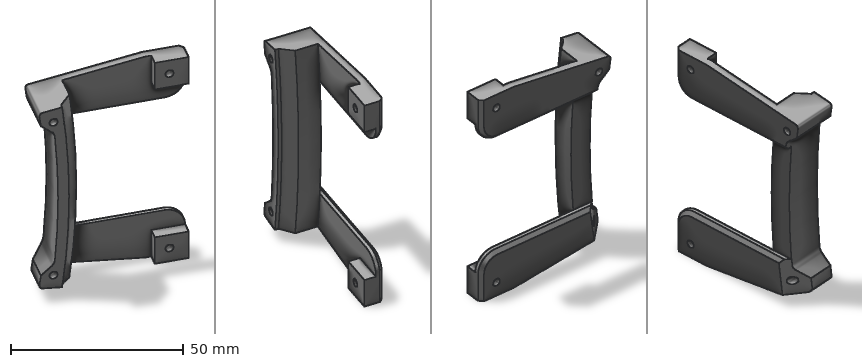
import cadquery as cq
import math

width = 14.7
depth = 47.7
half_height = 36.2

arm_thickness = 2.5
arm_inner_z = 20.3
arm_chamfer = 1.2
arm_corner_radius = 6.4
taper_start_y = 35.5
taper_angle = 7.5

pad_x = 6.3
pad_front_y = 37.4
pad_inner_z = arm_inner_z + arm_corner_radius
hole_diameter = 2.45
hole_centers = [(41.85, 31.4), (4.3, 27.5)]

bridge_radius = 256.25
bridge_front_y = 5.65
bridge_rear_y = 12.6
bridge_bevel_x = 9.9
bridge_bevel = 3.6

tip_face_length = 4.6
tip_slope_angle = 41.0
tip_radius = 1.15
tip_inner_radius = 2.9
corner_cut = 6.2

taper_sin = math.sin(math.radians(taper_angle))
taper_cos = math.cos(math.radians(taper_angle))
tip_y = tip_radius * (1 - taper_cos - taper_sin)
tip_z = half_height - (taper_start_y - tip_y) * taper_sin / taper_cos


def bridge_face_y(mid_y, z):
    """Y of a bridge face bowed toward the rear, at height z."""
    return mid_y - bridge_radius + math.sqrt(bridge_radius**2 - z**2)


def box(x_range, y_range, z_range):
    sizes = [high - low for low, high in (x_range, y_range, z_range)]
    corner = (x_range[0], y_range[0], z_range[0])
    return cq.Workplane("XY").box(*sizes, centered=False).translate(corner)


def make_envelope():
    """Full-width side outline: tapered outer edges, front tips and bowed front."""
    tip_low = (tip_y + tip_face_length * taper_sin, tip_z - tip_face_length * taper_cos)
    slope = math.tan(math.radians(tip_slope_angle))
    root_z = arm_inner_z
    iterations = 10
    for _ in range(iterations):
        root_y = bridge_face_y(bridge_front_y, root_z)
        root_z = tip_low[1] - (root_y - tip_low[0]) * slope
    envelope = (
        cq.Workplane("YZ")
        .moveTo(depth, -half_height)
        .lineTo(depth, half_height)
        .lineTo(taper_start_y, half_height)
        .lineTo(tip_y, tip_z)
        .lineTo(*tip_low)
        .lineTo(root_y, root_z)
        .threePointArc((bridge_front_y, 0), (root_y, -root_z))
        .lineTo(tip_low[0], -tip_low[1])
        .lineTo(tip_y, -tip_z)
        .lineTo(taper_start_y, -half_height)
        .close()
        .extrude(width)
    )

    def edges_near(y, z):
        """Select the full-width edges at the mirrored pair of points."""
        reach = 0.1
        upper, lower = [
            cq.selectors.BoxSelector(
                (0, y - reach, mirrored_z - reach), (width, y + reach, mirrored_z + reach)
            )
            for mirrored_z in (z, -z)
        ]
        return envelope.edges("|X").edges(upper + lower)

    envelope = edges_near(tip_y, tip_z).fillet(tip_radius)
    return edges_near(root_y, root_z).fillet(tip_inner_radius)


def make_bridge():
    """Bridge plan section swept around a distant axis parallel to X."""
    bevel_end = (bridge_bevel_x + bridge_bevel, bridge_rear_y - bridge_bevel)
    front_y = -tip_face_length
    axis_y = bridge_rear_y - bridge_radius
    sweep_angle = 20
    section = (
        cq.Workplane("XY")
        .moveTo(0, front_y)
        .lineTo(0, bridge_rear_y)
        .lineTo(bridge_bevel_x, bridge_rear_y)
        .lineTo(*bevel_end)
        .lineTo(width, bevel_end[1])
        .lineTo(width, front_y)
        .close()
    )
    swept = section.revolve(sweep_angle, (0, axis_y, 0), (1, axis_y, 0))
    swept = swept.rotate((0, axis_y, 0), (1, axis_y, 0), -sweep_angle / 2)
    return swept.intersect(box((arm_thickness, width), (front_y, depth), (-half_height, half_height)))


def make_upper_arm():
    """Plate with a rounded rear corner, chamfered along its rear and inner edges."""
    plate = box((0, arm_thickness), (-arm_corner_radius, depth), (arm_inner_z, half_height))
    plate = plate.edges("|X and >Y and <Z").fillet(arm_corner_radius)
    return plate.faces("<X").edges("(not >Z) and (not <Y)").chamfer(arm_chamfer)


def make_upper_pad():
    return box((arm_thickness, pad_x), (pad_front_y, depth), (pad_inner_z, half_height))


def make_corner_cut():
    """45 degree wedge removed from the lower tip, square to the lower tapered edge."""
    margin = 1.45
    wedge = (
        cq.Workplane("XY")
        .polyline([(-margin, corner_cut + margin), (-margin, -margin), (corner_cut + margin, -margin)])
        .close()
        .extrude(half_height, both=True)
    )
    wedge = wedge.rotate((0, 0, 0), (1, 0, 0), -taper_angle).translate((0, tip_y, -tip_z))
    return wedge.intersect(box((-margin, width), (-depth, depth), (-2 * half_height, -arm_inner_z)))


upper_side = make_upper_arm().union(make_upper_pad())
body = make_bridge().union(upper_side).union(upper_side.mirror("XY"))
body = body.intersect(make_envelope()).cut(make_corner_cut())

hole_points = [(y, side * z) for y, z in hole_centers for side in (1, -1)]
holes = cq.Workplane("YZ").pushPoints(hole_points).circle(hole_diameter / 2).extrude(width)
result = body.cut(holes)